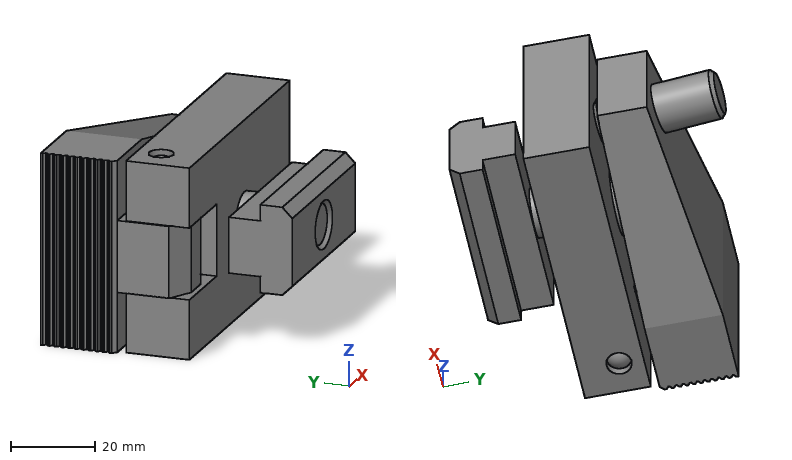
import cadquery as cq
import math


CLAMP_HEIGHT = 48.0
GAP = 2.0

JAW_LENGTH = 72.0
JAW_THICKNESS = 19.0
JAW_FLAT_LENGTH = 18.0
JAW_TIP_THICKNESS = 12.0
JAW_TIP_HEIGHT = CLAMP_HEIGHT / 2
JAW_CHAMFER = 1.0

GROOVE_COUNT = 10
GROOVE_PITCH = 1.7
GROOVE_WIDTH = 1.3
GROOVE_FLOOR_WIDTH = 0.3
GROOVE_DEPTH = 0.61
FIRST_GROOVE = 1.2

TONGUE_WIDTH = 18.0
TONGUE_LEFT = JAW_CHAMFER
TONGUE_RIGHT = 19.0
TONGUE_DEPTH = 16.5
TONGUE_BEVEL_ANGLE = 30.0
TONGUE_BEVEL_LENGTH = 6.0
TONGUE_FLAT_LENGTH = 6.55

BASE_LENGTH = 70.0
BASE_LEFT = 1.5
BASE_THICKNESS = 16.0
SLOT_LENGTH = 19.0
BASE_TOP = -GAP
BASE_BOTTOM = BASE_TOP - BASE_THICKNESS

PIVOT_X = 9.6
PIVOT_Y = BASE_TOP - 6.0
PIVOT_RADIUS = 3.0
PIVOT_DOME_HEIGHT = 1.7
PIVOT_RECESS = 0.6

SCREW_X = 40.0
SCREW_DIAMETER = 12.0
COLLAR_DIAMETER = 18.0
CORE_DIAMETER = 10.1

NUT_GAP = 4.0
NUT_LENGTH = 44.0
NUT_THICKNESS = 16.0
NUT_STEM_WIDTH = 14.0
NUT_HEAD_WIDTH = 22.0
NUT_HEAD_THICKNESS = 8.1
NUT_CHAMFER = 2.5
NUT_TOP = BASE_BOTTOM - NUT_GAP
NUT_BOTTOM = NUT_TOP - NUT_THICKNESS
COUNTERSINK_DEPTH = (SCREW_DIAMETER - CORE_DIAMETER) / 2

JACK_LEAN = 5.0
JACK_DIAMETER = 12.0
JACK_LENGTH = 29.9
JACK_CHAMFER = 1.0
JACK_FOOT_X = 61.8


def y_cylinder(diameter, y_low, y_high):
    """Cylinder on the clamping screw axis between two Y levels."""
    return (
        cq.Workplane("XZ", origin=(SCREW_X, y_low, 0))
        .circle(diameter / 2)
        .extrude(-(y_high - y_low))
    )


def z_prism(points, height):
    """Outline in XY extruded symmetrically about the mid-plane."""
    return cq.Workplane("XY").polyline(points).close().extrude(height / 2, both=True)


def jack_plane():
    """Plane on the foot of the jack screw, its normal along the screw axis."""
    lean = math.radians(JACK_LEAN)
    foot_radius = JACK_DIAMETER / 2 - JACK_CHAMFER
    foot_y = BASE_TOP + foot_radius * math.sin(lean)
    return cq.Plane(
        origin=(JACK_FOOT_X, foot_y, 0),
        xDir=(math.cos(lean), -math.sin(lean), 0),
        normal=(math.sin(lean), math.cos(lean), 0),
    )


def jack_cylinder():
    return cq.Workplane(jack_plane()).circle(JACK_DIAMETER / 2).extrude(JACK_LENGTH)


def pivot():
    """Pin with ends shaped as spherical caps, seated in the base."""
    tip_z = CLAMP_HEIGHT / 2 - PIVOT_RECESS
    rim_z = tip_z - PIVOT_DOME_HEIGHT
    sphere_radius = (PIVOT_RADIUS**2 + PIVOT_DOME_HEIGHT**2) / (2 * PIVOT_DOME_HEIGHT)
    centre_z = tip_z - sphere_radius
    half_angle = math.asin(PIVOT_RADIUS / sphere_radius) / 2
    arc_x = sphere_radius * math.sin(half_angle)
    arc_z = centre_z + sphere_radius * math.cos(half_angle)
    return (
        cq.Workplane("XZ", origin=(PIVOT_X, PIVOT_Y, 0))
        .moveTo(0, -tip_z)
        .threePointArc((arc_x, -arc_z), (PIVOT_RADIUS, -rim_z))
        .lineTo(PIVOT_RADIUS, rim_z)
        .threePointArc((arc_x, arc_z), (0, tip_z))
        .close()
        .revolve(360, (0, 0, 0), (0, 1, 0))
    )


def jaw_block():
    """Wedge that thins in Y and narrows in Z towards its far end."""
    side = z_prism(
        [
            (JAW_CHAMFER, 0),
            (JAW_LENGTH, 0),
            (JAW_LENGTH, JAW_TIP_THICKNESS),
            (JAW_FLAT_LENGTH, JAW_THICKNESS),
            (0, JAW_THICKNESS),
            (0, JAW_CHAMFER),
        ],
        CLAMP_HEIGHT,
    )
    narrowing = (
        cq.Workplane("XZ")
        .polyline(
            [
                (0, -CLAMP_HEIGHT / 2),
                (JAW_FLAT_LENGTH, -CLAMP_HEIGHT / 2),
                (JAW_LENGTH, -JAW_TIP_HEIGHT / 2),
                (JAW_LENGTH, JAW_TIP_HEIGHT / 2),
                (JAW_FLAT_LENGTH, CLAMP_HEIGHT / 2),
                (0, CLAMP_HEIGHT / 2),
            ]
        )
        .close()
        .extrude(-JAW_THICKNESS)
    )
    return side.intersect(narrowing)


def grip_groove(y):
    """Cutter for one flat-bottomed V groove running the full height of the toothed face."""
    return z_prism(
        [
            (0, y - GROOVE_WIDTH / 2),
            (GROOVE_DEPTH, y - GROOVE_FLOOR_WIDTH / 2),
            (GROOVE_DEPTH, y + GROOVE_FLOOR_WIDTH / 2),
            (0, y + GROOVE_WIDTH / 2),
        ],
        CLAMP_HEIGHT,
    )


def tongue():
    bevel_rise = TONGUE_BEVEL_LENGTH * math.tan(math.radians(TONGUE_BEVEL_ANGLE))
    flat_start = TONGUE_LEFT + TONGUE_BEVEL_LENGTH
    flat_end = flat_start + TONGUE_FLAT_LENGTH
    relief = TONGUE_RIGHT - flat_end
    return z_prism(
        [
            (TONGUE_LEFT, 0),
            (TONGUE_LEFT, -TONGUE_DEPTH + bevel_rise),
            (flat_start, -TONGUE_DEPTH),
            (flat_end, -TONGUE_DEPTH),
            (TONGUE_RIGHT, -TONGUE_DEPTH + relief),
            (TONGUE_RIGHT, 0),
        ],
        TONGUE_WIDTH,
    )


def make_jaw():
    jaw = jaw_block()
    for index in range(GROOVE_COUNT):
        jaw = jaw.cut(grip_groove(JAW_THICKNESS - FIRST_GROOVE - index * GROOVE_PITCH))
    return jaw.union(tongue()).union(pivot()).cut(jack_cylinder())


def make_base():
    """Block with a slot for the tongue, a cross bore for the pivot and the screw bore."""
    block = z_prism(
        [
            (BASE_LEFT, BASE_BOTTOM),
            (BASE_LEFT + BASE_LENGTH, BASE_BOTTOM),
            (BASE_LEFT + BASE_LENGTH, BASE_TOP),
            (BASE_LEFT, BASE_TOP),
        ],
        CLAMP_HEIGHT,
    )
    slot = z_prism(
        [
            (BASE_LEFT, BASE_BOTTOM),
            (BASE_LEFT + SLOT_LENGTH, BASE_BOTTOM),
            (BASE_LEFT + SLOT_LENGTH, BASE_TOP),
            (BASE_LEFT, BASE_TOP),
        ],
        TONGUE_WIDTH,
    )
    cross_bore = (
        cq.Workplane("XY")
        .center(PIVOT_X, PIVOT_Y)
        .circle(PIVOT_RADIUS)
        .extrude(CLAMP_HEIGHT / 2, both=True)
    )
    screw_bore = y_cylinder(SCREW_DIAMETER, BASE_BOTTOM, BASE_TOP)
    return block.cut(slot).cut(cross_bore).cut(screw_bore)


def make_clamping_screw():
    """Collar in the gap, shank through the base, reduced end inside the T-nut."""
    collar = y_cylinder(COLLAR_DIAMETER, BASE_TOP, 0)
    shank = y_cylinder(SCREW_DIAMETER, NUT_TOP, BASE_TOP)
    core = y_cylinder(CORE_DIAMETER, NUT_BOTTOM + COUNTERSINK_DEPTH, NUT_TOP)
    return collar.union(shank).union(core)


def make_t_nut():
    """T profile along X with a through hole countersunk on the head side."""
    stem = NUT_STEM_WIDTH / 2
    head = NUT_HEAD_WIDTH / 2
    shoulder = NUT_BOTTOM + NUT_HEAD_THICKNESS
    profile = [
        (NUT_TOP, -stem),
        (shoulder, -stem),
        (shoulder, -head),
        (NUT_BOTTOM + NUT_CHAMFER, -head),
        (NUT_BOTTOM, -head + NUT_CHAMFER),
        (NUT_BOTTOM, head - NUT_CHAMFER),
        (NUT_BOTTOM + NUT_CHAMFER, head),
        (shoulder, head),
        (shoulder, stem),
        (NUT_TOP, stem),
    ]
    body = (
        cq.Workplane("YZ", origin=(SCREW_X, 0, 0))
        .polyline(profile)
        .close()
        .extrude(NUT_LENGTH / 2, both=True)
    )
    hole = y_cylinder(CORE_DIAMETER, NUT_BOTTOM, NUT_TOP)
    body = body.cut(hole)
    return body.faces("<Y").edges("%CIRCLE").chamfer(COUNTERSINK_DEPTH)


def make_jack_screw():
    return jack_cylinder().edges("%CIRCLE").chamfer(JACK_CHAMFER)


jaw = make_jaw()
base = make_base()
clamping_screw = make_clamping_screw()
t_nut = make_t_nut()
jack_screw = make_jack_screw()

result = cq.Compound.makeCompound(
    [jaw.val(), base.val(), clamping_screw.val(), t_nut.val(), jack_screw.val()]
)